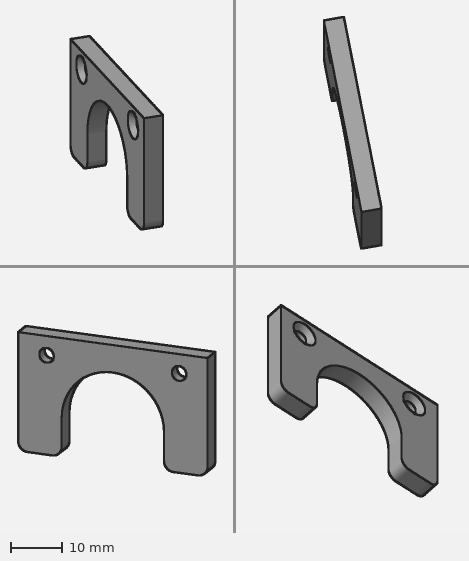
import cadquery as cq

width = 40.0
thickness = 4.0
height = 24.5

opening_radius = 10.8
arch_center_height = 8.0
foot_radius = 2.0

hole_edge_x = 6.0
hole_edge_top = 4.0
hole_diameter = 3.0
sink_diameter = 5.6
sink_angle = 90.0

half_width = width / 2
arch_top = arch_center_height + opening_radius
hole_x = half_width - hole_edge_x
hole_z = height - hole_edge_top

plate = (
    cq.Workplane("XZ")
    .moveTo(-half_width, 0)
    .lineTo(-half_width, height)
    .lineTo(half_width, height)
    .lineTo(half_width, 0)
    .lineTo(opening_radius, 0)
    .lineTo(opening_radius, arch_center_height)
    .threePointArc((0, arch_top), (-opening_radius, arch_center_height))
    .lineTo(-opening_radius, 0)
    .close()
    .extrude(-thickness)
)

plate = plate.faces("<Z").edges("|Y").fillet(foot_radius)

result = (
    plate.faces("<Y")
    .workplane(origin=(0, 0, 0))
    .pushPoints([(-hole_x, hole_z), (hole_x, hole_z)])
    .cskHole(hole_diameter, sink_diameter, sink_angle)
)